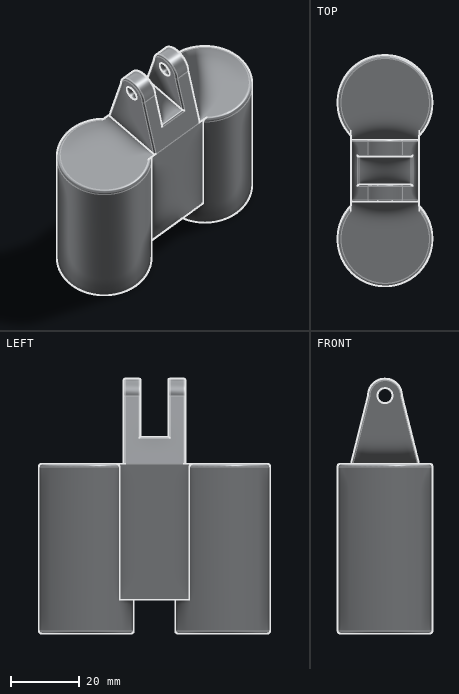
import cadquery as cq

cylinder_diameter = 28.0
overall_length = 68.0
cylinder_height = 50.0
cylinder_fillet = 1.0
cylinder_spacing = overall_length - cylinder_diameter

web_width = 20.0
web_bottom = 10.0

overall_height = 75
clevis_thickness = 18.2
clevis_tip_radius = 5.0
clevis_edge_fillet = 0.5
pin_height = overall_height - clevis_tip_radius
pin_diameter = 4.35
slot_width = 8.1
slot_height_above_cylinders = 7.9
slot_floor = cylinder_height + slot_height_above_cylinders


def make_cylinder(y):
    """Upright cylinder with both rims rounded."""
    body = cq.Workplane("XY").center(0, y).circle(cylinder_diameter / 2).extrude(cylinder_height)
    return body.edges("%CIRCLE").fillet(cylinder_fillet)


def make_web():
    """Block spanning between the cylinder axes, flush with their tops."""
    return (
        cq.Workplane("XY")
        .workplane(offset=web_bottom)
        .rect(web_width, cylinder_spacing)
        .extrude(cylinder_height - web_bottom)
    )


def make_clevis():
    """Tapered, round-topped lug split by a slot, with rounded profile edges and a pin hole."""
    lug = (
        cq.Workplane("XZ")
        .moveTo(-web_width / 2, cylinder_height)
        .lineTo(-clevis_tip_radius, pin_height)
        .threePointArc((0, overall_height), (clevis_tip_radius, pin_height))
        .lineTo(web_width / 2, cylinder_height)
        .close()
        .extrude(clevis_thickness / 2, both=True)
    )
    slot = (
        cq.Workplane("XY")
        .workplane(offset=slot_floor)
        .rect(web_width, slot_width)
        .extrude(overall_height - slot_floor)
    )
    split_lug = lug.cut(slot)
    ear_edges = split_lug.faces("|Y").edges("not |X")
    floor_ends = split_lug.faces("+Z").edges("|Y")
    rounded = ear_edges.add(floor_ends).fillet(clevis_edge_fillet)
    pin_hole = (
        cq.Workplane("XZ")
        .center(0, pin_height)
        .circle(pin_diameter / 2)
        .extrude(clevis_thickness, both=True)
    )
    return rounded.cut(pin_hole)


result = make_web().union(make_clevis())
for side in (-1, 1):
    result = result.union(make_cylinder(side * cylinder_spacing / 2))